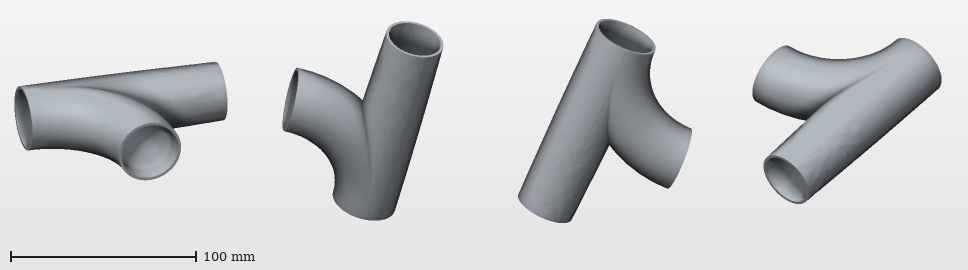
import cadquery as cq

run_length = 110.0
inlet_radius = 17.5
outlet_radius = 16.0
wall = 1.5
bend_radius = 55.0
bend_angle = 90.0


def tapered_run(inset):
    """Run leaving the inlet parallel to Y and curving gently in to the outlet."""
    inlet_edge = (inlet_radius - inset, 0)
    taper_control = (inlet_radius - inset, run_length / 2)
    outlet_edge = (outlet_radius - inset, run_length)
    return (
        cq.Workplane("XY")
        .lineTo(*inlet_edge)
        .bezier([inlet_edge, taper_control, outlet_edge])
        .lineTo(0, run_length)
        .close()
        .revolve(360, (0, 0, 0), (0, 1, 0))
    )


def branch_bend(inset):
    """Quarter torus turning from +Y at the inlet to +X at the branch end."""
    return (
        cq.Workplane("XZ")
        .circle(inlet_radius - inset)
        .revolve(bend_angle, (bend_radius, 1.1, 0), (bend_radius, 0, 0))
    )


outer_body = tapered_run(0).union(branch_bend(0))
bores = tapered_run(wall).union(branch_bend(wall))
result = outer_body.cut(bores)